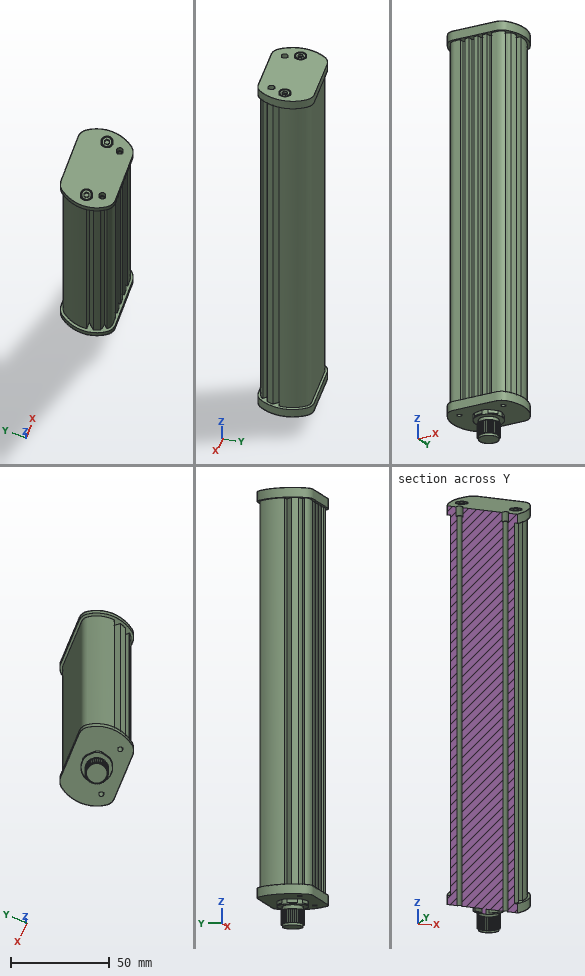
import cadquery as cq

overall_width = 42.21
overall_depth = 29.45
overall_height = 223.1
cap_thickness = 5.0
body_length = 200.0
body_depth_inset = 1.35
top_z = 2 * cap_thickness + body_length
connector_length = overall_height - top_z

cap_radius = overall_width / 2
cap_half_depth = overall_depth / 2
cap_corner_radius = 6.0
body_radius = 19.6
body_half_depth = cap_half_depth - body_depth_inset
body_corner_radius = 4.5

groove_width = 2.65
groove_pitch = 5.15
groove_depth = 3.0
inner_groove_count = 4
corner_groove = [(19.5, -7.7), (16.4, -9.1), (14.2, -9.5), (15.9, -11.3), (19.5, -13.0)]
side_groove = [(21.0, -1.7), (16.1, -1.9), (19.05, -5.4), (21.0, -5.5)]

screw_x = 15.0
counterbore_radius = 3.1
counterbore_depth = 3.0
screw_head_radius = 2.5
socket_width = 2.5
socket_depth = 1.5
through_hole_x = 12.75
through_hole_y = -7.7
through_hole_radius = 1.25
cap_hole_radius = 1.7

nut_radius = 8.05
nut_width = 15.2
nut_height = 2.6
nut_rim_height = 0.7
nut_turn = 15.0
neck_radius = 5.35
neck_height = 2.1
sleeve_radius = 6.0
sleeve_end_length = 1.3
sleeve_end_radius = 5.3
flute_count = 36
flute_radius = 0.35


def rounded_section(radius, half_depth, corner_radius, height):
    """Disc cut flat at front and back, with the corners rounded."""
    disc = cq.Workplane("XY").circle(radius).extrude(height)
    slab = cq.Workplane("XY").rect(2 * radius, 2 * half_depth).extrude(height)
    return disc.intersect(slab).edges("|Z").fillet(corner_radius)


def front_groove(center_x):
    """Straight groove cut inward from the flat front of the body."""
    return (
        cq.Workplane("XY")
        .center(center_x, -body_half_depth)
        .rect(groove_width, 2 * groove_depth)
        .extrude(body_length)
    )


def make_body():
    body = rounded_section(body_radius, body_half_depth, body_corner_radius, body_length)
    for index in range(inner_groove_count):
        center_x = (index - (inner_groove_count - 1) / 2) * groove_pitch
        body = body.cut(front_groove(center_x))
    for side in (-1, 1):
        for outline in (corner_groove, side_groove):
            points = [(side * x, y) for x, y in outline]
            body = body.cut(cq.Workplane("XY").polyline(points).close().extrude(body_length))
    return body.translate((0, 0, cap_thickness))


def make_cap(base_z):
    cap = rounded_section(cap_radius, cap_half_depth, cap_corner_radius, cap_thickness)
    return cap.translate((0, 0, base_z))


def cut_screw(part, x):
    """Counterbore holding a flush socket-head screw, left as a ring gap and a hex socket."""
    gap = (
        cq.Workplane("XY", origin=(x, 0, top_z - counterbore_depth))
        .circle(counterbore_radius)
        .circle(screw_head_radius)
        .extrude(counterbore_depth)
    )
    socket = (
        cq.Workplane("XY", origin=(x, 0, top_z - socket_depth))
        .polygon(6, socket_width, circumscribed=True)
        .extrude(socket_depth)
    )
    return part.cut(gap).cut(socket)


def cut_through_hole(part, x):
    """Hole down the whole housing, opened out in the upper cap."""
    hole = cq.Workplane("XY", origin=(x, through_hole_y, 0)).circle(through_hole_radius).extrude(top_z)
    opening = (
        cq.Workplane("XY", origin=(x, through_hole_y, top_z - cap_thickness))
        .circle(cap_hole_radius)
        .extrude(cap_thickness)
    )
    return part.cut(hole).cut(opening)


def make_nut():
    """Round nut with six wrench flats above a plain rim."""
    hexagon = (
        cq.Workplane("XY")
        .polygon(6, nut_width, circumscribed=True)
        .extrude(-nut_height)
        .rotate((0, 0, 0), (0, 0, 1), nut_turn)
    )
    disc = cq.Workplane("XY").circle(nut_radius).extrude(-nut_height)
    rim = cq.Workplane("XY", origin=(0, 0, -nut_height)).circle(nut_radius).extrude(nut_rim_height)
    return hexagon.intersect(disc).union(rim)


def make_sleeve():
    """Fluted coupling sleeve with a narrower plain end."""
    sleeve_top = -nut_height - neck_height
    end_top = -connector_length + sleeve_end_length
    sleeve = cq.Workplane("XY", origin=(0, 0, end_top)).circle(sleeve_radius).extrude(sleeve_top - end_top)
    flutes = (
        cq.Workplane("XY", origin=(0, 0, end_top))
        .polarArray(sleeve_radius, 0, 360, flute_count)
        .circle(flute_radius)
        .extrude(sleeve_top - end_top)
    )
    end = (
        cq.Workplane("XY", origin=(0, 0, -connector_length))
        .circle(sleeve_end_radius)
        .extrude(sleeve_end_length)
    )
    return sleeve.cut(flutes).union(end)


def make_connector():
    neck = cq.Workplane("XY", origin=(0, 0, -nut_height)).circle(neck_radius).extrude(-neck_height)
    return make_nut().union(neck).union(make_sleeve())


housing = make_body().union(make_cap(0)).union(make_cap(top_z - cap_thickness))
for direction in (-1, 1):
    housing = cut_screw(housing, direction * screw_x)
    housing = cut_through_hole(housing, direction * through_hole_x)

result = housing.union(make_connector())